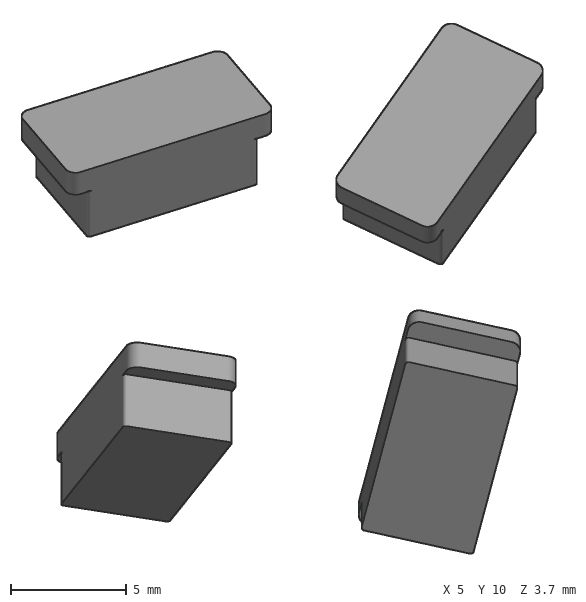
import cadquery as cq

width = 5.0
length = 10.0
cap_height = 1.2
cap_corner_radius = 0.5

body_height = 2.5
body_length = 8.3
body_corner_radius = 0.15


def rounded_block(block_length, height, corner_radius):
    """Full-width block standing on Z = 0 with rounded vertical edges."""
    block = cq.Workplane("XY").box(width, block_length, height, centered=(True, True, False))
    return block.edges("|Z").fillet(corner_radius)


body = rounded_block(body_length, body_height, body_corner_radius)
cap = rounded_block(length, cap_height, cap_corner_radius).translate((0, 0, body_height))

result = body.union(cap)